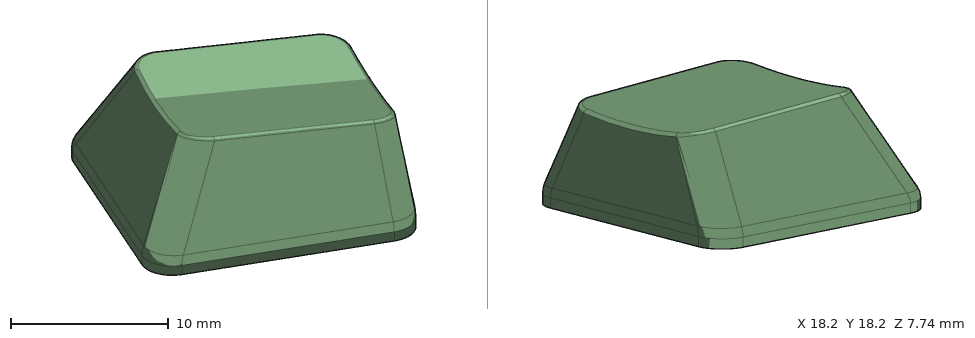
import cadquery as cq
import math

base_size = 18.16
base_half = base_size / 2
base_corner = 2.0
skirt_height = 0.67
shoulder_top = 1.33

side_slope = 24.6
front_slope = 26.6
back_slope = 4.8

top_height = 7.99
top_tilt = 3.2
top_half_width = 5.75
top_front = -5.43
top_back = 8.54
top_corner = 1.82

dish_radius = 37.23
dish_floor = 7.05
dish_length = 36.32
rim_radius = 0.27


def shoulder_inset(slope, height):
    """How far the rounded shoulder has drawn in from the base at a height."""
    radius = (shoulder_top - skirt_height) / math.sin(math.radians(slope))
    rise = height - skirt_height
    return radius - math.sqrt(radius**2 - rise**2)


def rounded_outline(half_width, front, back, corner):
    """Rectangle with rounded corners, centered left to right."""
    outline = cq.Sketch().rect(2 * half_width, back - front).vertices().fillet(corner)
    return outline.moved(cq.Location(cq.Vector(0, (front + back) / 2, 0)))


def shoulder_section(height):
    """Level outline of the body at a height on the shoulder."""
    half_width = base_half - shoulder_inset(side_slope, height)
    front = -base_half + shoulder_inset(front_slope, height)
    back = base_half - shoulder_inset(back_slope, height)
    outline = rounded_outline(half_width, front, back, base_corner)
    return outline.moved(cq.Location(cq.Vector(0, 0, height)))


def top_section():
    """Outline of the untrimmed top, tipped down at the back."""
    outline = rounded_outline(top_half_width, top_front, top_back, top_corner)
    tipped = cq.Location(cq.Vector(0, 0, top_height), cq.Vector(1, 0, 0), -top_tilt)
    return outline.moved(tipped)


def make_body():
    """Straight skirt, rounded shoulder and sloping walls, stacked."""
    shoulder_middle = (skirt_height + shoulder_top) / 2
    lower = shoulder_section(skirt_height)
    middle = shoulder_section(shoulder_middle)
    upper = shoulder_section(shoulder_top)
    skirt = cq.Workplane("XY").placeSketch(lower).extrude(-skirt_height)
    shoulder = cq.Workplane("XY").placeSketch(lower, middle, upper).loft()
    walls = cq.Workplane("XY").placeSketch(upper, top_section()).loft(ruled=True)
    return skirt.union(shoulder).union(walls)


def make_dish():
    """Cylinder that hollows the top from left to right."""
    tilt = math.radians(top_tilt)
    axis = cq.Vector(0, math.cos(tilt), -math.sin(tilt))
    center = cq.Vector(0, 0, dish_floor + dish_radius / math.cos(tilt))
    start = center - axis * (dish_length / 2)
    return cq.Workplane(cq.Solid.makeCylinder(dish_radius, dish_length, start, axis))


dished = make_body().cut(make_dish())
result = dished.faces(">Z").edges().fillet(rim_radius)